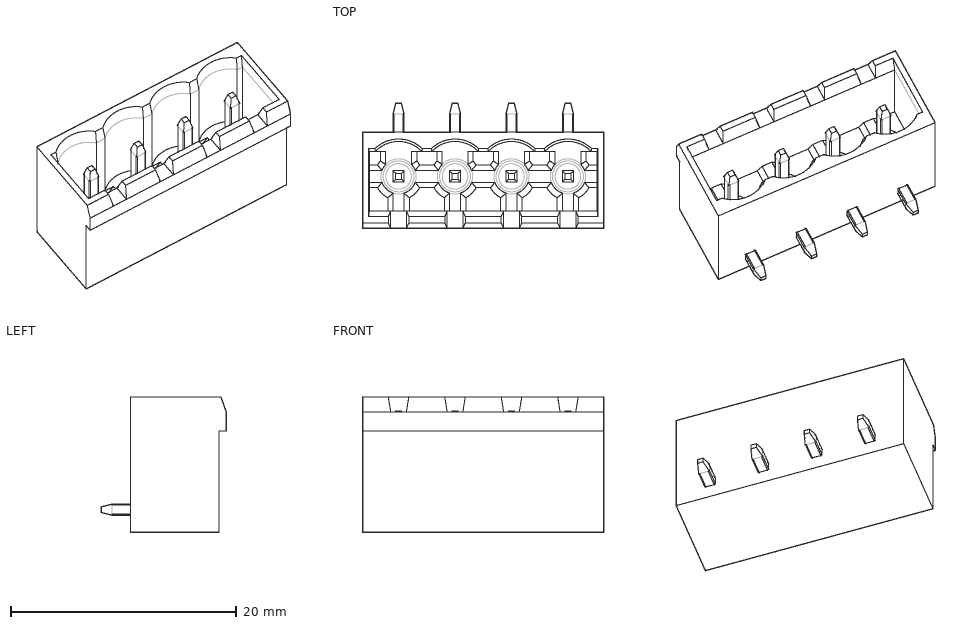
import cadquery as cq

WIDTH = 21.4
HEIGHT = 12.0
BACK_Y = 8.52
FRONT_Y = 0.65
LIP_BOTTOM = 8.97
LIP_BEVEL_RUN = 0.47

MOUTH_DEPTH = 1.33
MOUTH_Z = HEIGHT - MOUTH_DEPTH

FLOOR_Z = 2.78
CAVITY_SIDE = 0.6
CAVITY_FRONT = 1.55
CAVITY_BACK = 6.83
MOUTH_SIDE = 0.54
MOUTH_FRONT = 1.05
MOUTH_BACK = 7.06

PIN_COUNT = 4
PITCH = 5.0
PIN_Y = 4.6
PIN_XS = [WIDTH / 2 + PITCH * (i - (PIN_COUNT - 1) / 2) for i in range(PIN_COUNT)]

LOBE_Y = 4.88
LOBE_RADIUS = 2.82
LOBE_MOUTH_RADIUS = 3.04

NOTCH_TOP_WIDTH = 1.82
NOTCH_BOTTOM_WIDTH = 1.4

RIB_HEIGHT = 0.47
RIB_TAPER = RIB_HEIGHT
RIB_TOP_Z = FLOOR_Z + RIB_HEIGHT
CROSS_RIB_WIDTH = 1.07
FRONT_RIB_WIDTH = 0.96
BACK_RIB_WIDTH = 2.3
CONE_BASE_RADIUS = 2.12
BOSS_RADIUS = 1.37
BOSS_BASE_FILLET = 0.2
BOSS_TOP_FILLET = 0.24
BOSS_HEIGHT = BOSS_BASE_FILLET + BOSS_TOP_FILLET
CONE_TOP_RADIUS = BOSS_RADIUS + BOSS_BASE_FILLET

PIN_SIZE = 1.0
PIN_CHAMFER = 0.1
PIN_TIP_SIZE = 0.51
PIN_TIP_LENGTH = 0.98
PIN_TOP_Z = 10.76
TAIL_Z = 2.01
TAIL_END_Y = 11.1


def box(x0, x1, y0, y1, z0, z1):
    """Box given by its limits along each axis."""
    return cq.Workplane("XY").box(x1 - x0, y1 - y0, z1 - z0, centered=False).translate((x0, y0, z0))


def make_shell():
    """Housing block whose front lip overhangs and is beveled at the top."""
    profile = [
        (FRONT_Y, 0),
        (BACK_Y, 0),
        (BACK_Y, HEIGHT),
        (LIP_BEVEL_RUN, HEIGHT),
        (0, MOUTH_Z),
        (0, LIP_BOTTOM),
        (FRONT_Y, LIP_BOTTOM),
    ]
    return cq.Workplane("YZ").polyline(profile).close().extrude(WIDTH)


def make_cavity():
    """Rectangular cavity that widens on all four sides above the mouth level."""
    straight = box(CAVITY_SIDE, WIDTH - CAVITY_SIDE, CAVITY_FRONT, CAVITY_BACK, FLOOR_Z, MOUTH_Z)
    mouth = (
        cq.Workplane("XY", origin=(WIDTH / 2, (CAVITY_FRONT + CAVITY_BACK) / 2, MOUTH_Z))
        .rect(WIDTH - 2 * CAVITY_SIDE, CAVITY_BACK - CAVITY_FRONT)
        .workplane(offset=MOUTH_DEPTH)
        .center(0, (MOUTH_FRONT + MOUTH_BACK - CAVITY_FRONT - CAVITY_BACK) / 2)
        .rect(WIDTH - 2 * MOUTH_SIDE, MOUTH_BACK - MOUTH_FRONT)
        .loft(ruled=True)
    )
    return straight.union(mouth)


def make_lobe(x):
    """Round recess in the back wall, flared at the mouth."""
    profile = [
        (0, RIB_TOP_Z),
        (LOBE_RADIUS, RIB_TOP_Z),
        (LOBE_RADIUS, MOUTH_Z),
        (LOBE_MOUTH_RADIUS, HEIGHT),
        (0, HEIGHT),
    ]
    turned = cq.Workplane("XZ").polyline(profile).close().revolve(360, (0, 0), (0, 1))
    behind_cavity = box(0, WIDTH, CAVITY_BACK, BACK_Y, 0, HEIGHT)
    return turned.translate((x, LOBE_Y, 0)).intersect(behind_cavity)


def make_notch(x):
    """Tapered notch through the front lip."""
    top = NOTCH_TOP_WIDTH / 2
    bottom = NOTCH_BOTTOM_WIDTH / 2
    profile = [(x - bottom, MOUTH_Z), (x + bottom, MOUTH_Z), (x + top, HEIGHT), (x - top, HEIGHT)]
    return cq.Workplane("XZ").polyline(profile).close().extrude(-CAVITY_FRONT)


def rib_profile(plane, center, top_width):
    """Trapezoid standing on the floor, narrowing upward."""
    top = top_width / 2
    base = top + RIB_TAPER
    points = [
        (center - base, FLOOR_Z),
        (center + base, FLOOR_Z),
        (center + top, RIB_TOP_Z),
        (center - top, RIB_TOP_Z),
    ]
    return cq.Workplane(plane).polyline(points).close()


def make_cross_rib():
    """Rib that joins all bosses to each other and to the end walls."""
    length = WIDTH - 2 * CAVITY_SIDE
    return rib_profile("YZ", PIN_Y, CROSS_RIB_WIDTH).extrude(length).translate((CAVITY_SIDE, 0, 0))


def make_boss(x):
    """Cone with a filleted round boss, tied by ribs to the front and back walls."""
    front = rib_profile("XZ", x, FRONT_RIB_WIDTH).extrude(PIN_Y - CAVITY_FRONT).translate((0, PIN_Y, 0))
    back = rib_profile("XZ", x, BACK_RIB_WIDTH).extrude(PIN_Y - CAVITY_BACK).translate((0, PIN_Y, 0))
    boss_top_z = RIB_TOP_Z + BOSS_HEIGHT
    blend_z = RIB_TOP_Z + BOSS_BASE_FILLET
    top_radius = BOSS_RADIUS - BOSS_TOP_FILLET
    profile = (
        cq.Workplane("XZ")
        .moveTo(0, FLOOR_Z)
        .lineTo(CONE_BASE_RADIUS, FLOOR_Z)
        .lineTo(CONE_TOP_RADIUS, RIB_TOP_Z)
        .radiusArc((BOSS_RADIUS, blend_z), BOSS_BASE_FILLET)
        .radiusArc((top_radius, boss_top_z), -BOSS_TOP_FILLET)
        .lineTo(0, boss_top_z)
        .close()
    )
    turned = profile.revolve(360, (0, 0), (0, 1)).translate((x, PIN_Y, 0))
    return front.union(back).union(turned)


def make_bar(length):
    """Upright square bar on the origin with chamfered edges and a pyramid tip."""
    shaft_length = length - PIN_TIP_LENGTH
    shaft = (
        cq.Workplane("XY")
        .rect(PIN_SIZE, PIN_SIZE)
        .extrude(shaft_length)
        .edges("|Z")
        .chamfer(PIN_CHAMFER)
    )
    tip = (
        cq.Workplane("XY", origin=(0, 0, shaft_length))
        .rect(PIN_SIZE, PIN_SIZE)
        .workplane(offset=PIN_TIP_LENGTH)
        .rect(PIN_TIP_SIZE, PIN_TIP_SIZE)
        .loft(ruled=True)
    )
    return shaft.union(tip)


def make_pin(x):
    """L-shaped pin: an upright contact and a tail leaving through the back wall."""
    corner_z = TAIL_Z - PIN_SIZE / 2
    corner_y = PIN_Y - PIN_SIZE / 2
    upright = make_bar(PIN_TOP_Z - corner_z).translate((x, PIN_Y, corner_z))
    tail = (
        make_bar(TAIL_END_Y - corner_y)
        .rotate((0, 0, 0), (1, 0, 0), -90)
        .translate((x, corner_y, TAIL_Z))
    )
    return upright.union(tail)


def make_housing(pins):
    """Housing with its cavity, lobes, notches, floor ribs, bosses and a fitting passage per pin."""
    housing = make_shell().cut(make_cavity())
    for x in PIN_XS:
        housing = housing.cut(make_lobe(x)).cut(make_notch(x))
    housing = housing.union(make_cross_rib())
    for x in PIN_XS:
        housing = housing.union(make_boss(x))
    for pin in pins:
        housing = housing.cut(pin)
    return housing


pins = [make_pin(x) for x in PIN_XS]
housing = make_housing(pins)
result = cq.Compound.makeCompound([housing.val(), *[pin.val() for pin in pins]])